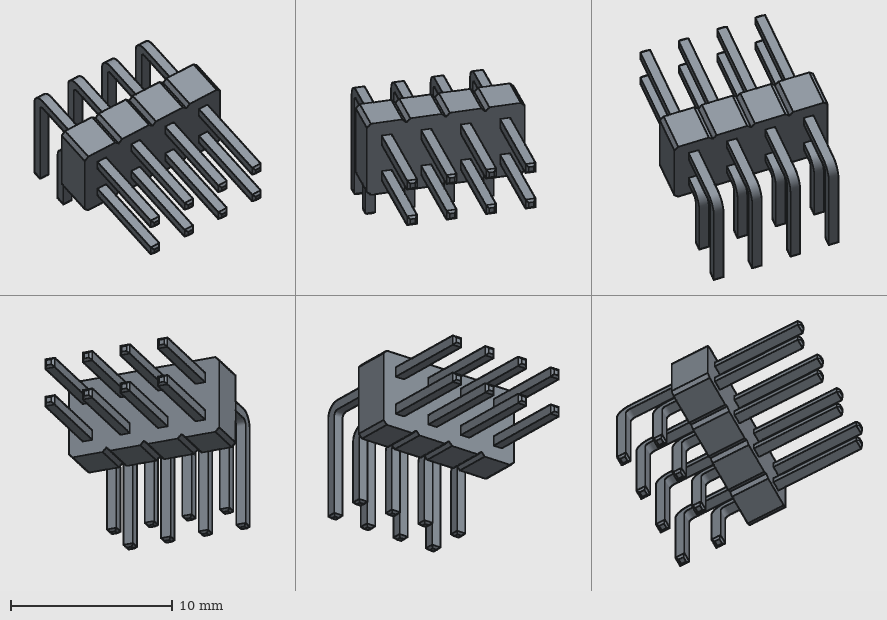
import cadquery as cq

pitch = 2.54
columns = 4
rows = 2

body_depth = pitch
body_height = rows * pitch
body_chamfer = 0.26

pin_side = 0.65
bend_inner_radius = 0.32
bend_outer_radius = bend_inner_radius + pin_side
tip_chamfer = 0.15

overall_length = 12.9
overall_height = 8.72
leg_overhang = 4.37

leg_outer_x = -body_depth / 2 - leg_overhang
pin_tip_x = leg_outer_x + overall_length
leg_tip_z = body_height / 2 - overall_height


def body_block(center_y):
    """One column's block, chamfered along its four X edges."""
    block = cq.Workplane("XY").box(body_depth, pitch, body_height)
    return block.edges("|X").chamfer(body_chamfer).translate((0, center_y, 0))


def bent_pin(leg_x, center_y, center_z):
    """Square pin with a rounded bend; leg_x is the -X surface of its leg."""
    top_z = center_z + pin_side / 2
    bottom_z = center_z - pin_side / 2
    blank = (
        cq.Workplane("XZ", origin=(0, center_y, 0))
        .moveTo(leg_x, leg_tip_z)
        .lineTo(leg_x, top_z - bend_outer_radius)
        .radiusArc((leg_x + bend_outer_radius, top_z), bend_outer_radius)
        .lineTo(pin_tip_x, top_z)
        .lineTo(pin_tip_x, bottom_z)
        .lineTo(leg_x + bend_outer_radius, bottom_z)
        .radiusArc((leg_x + pin_side, bottom_z - bend_inner_radius), -bend_inner_radius)
        .lineTo(leg_x + pin_side, leg_tip_z)
        .close()
        .extrude(pin_side / 2, both=True)
    )
    return blank.faces(">X").chamfer(tip_chamfer).faces("<Z").chamfer(tip_chamfer)


column_centers = [(i - (columns - 1) / 2) * pitch for i in range(columns)]

result = body_block(column_centers[0])
for column_y in column_centers[1:]:
    result = result.union(body_block(column_y))

for column_y in column_centers:
    for row in range(rows):
        row_z = ((rows - 1) / 2 - row) * pitch
        result = result.union(bent_pin(leg_outer_x + row * pitch, column_y, row_z))